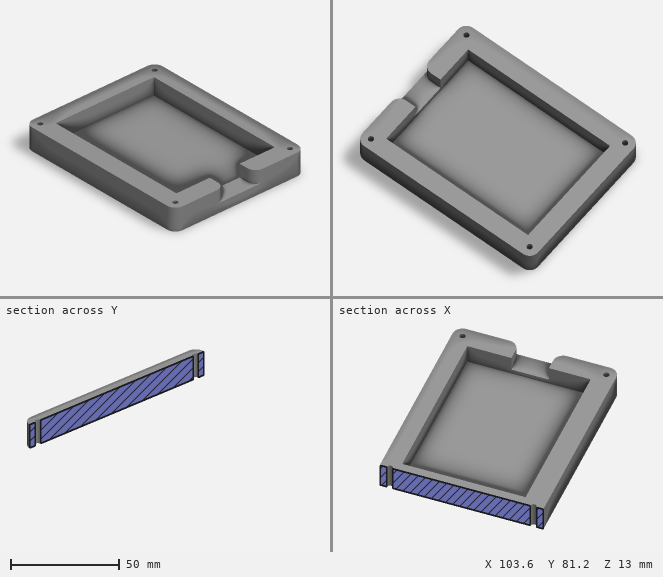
import cadquery as cq

length = 103.6
width = 81.2
height = 13.0
corner_radius = 5.0

pocket_length = 83.7
pocket_width = 61.2
pocket_depth = 9.9
left_wall = 9.4
back_wall = 9.4

notch_width = 18.7
notch_depth = 7.5
notch_mouth_radius = corner_radius

hole_diameter = 2.9


def make_block():
    """Plain block with rounded vertical edges."""
    block = cq.Workplane("XY").box(length, width, height, centered=(True, True, False))
    return block.edges("|Z").fillet(corner_radius)


def make_pocket():
    """Cutter for the pocket, placed by its -X and +Y walls."""
    x_left = -length / 2 + left_wall
    y_front = width / 2 - back_wall - pocket_width
    return (
        cq.Workplane("XY", origin=(x_left, y_front, height - pocket_depth))
        .rect(pocket_length, pocket_width, centered=False)
        .extrude(pocket_depth)
    )


def make_notch():
    """Cutter for the notch, from the pocket out through the +X face."""
    x_inner = -length / 2 + left_wall + pocket_length
    x_outer = length / 2
    x_tangent = x_outer - notch_mouth_radius
    y_side = notch_width / 2
    y_mouth = y_side + notch_mouth_radius
    return (
        cq.Workplane("XY", origin=(0, 0, height - notch_depth))
        .moveTo(x_inner, -y_side)
        .lineTo(x_tangent, -y_side)
        .radiusArc((x_outer, -y_mouth), notch_mouth_radius)
        .lineTo(x_outer, y_mouth)
        .radiusArc((x_tangent, y_side), notch_mouth_radius)
        .lineTo(x_inner, y_side)
        .close()
        .extrude(notch_depth)
    )


def make_corner_holes():
    """Cutter for the four through holes."""
    spacing_x = length - 2 * corner_radius
    spacing_y = width - 2 * corner_radius
    return (
        cq.Workplane("XY")
        .rect(spacing_x, spacing_y, forConstruction=True)
        .vertices()
        .circle(hole_diameter / 2)
        .extrude(height)
    )


result = make_block().cut(make_pocket()).cut(make_notch()).cut(make_corner_holes())